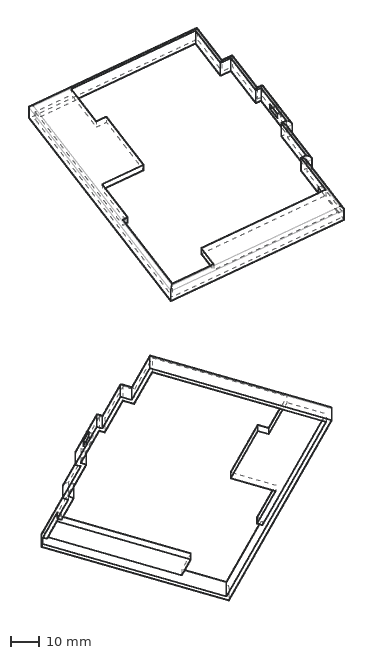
import cadquery as cq

length = 96.5
depth = 75.3
height = 7.2
wall = 1.5
edge_radius = 1.4
trimmed_top = 0.05
plate_overlap = 0.2

pitch = 17.0
step = 2.1
right_run = 25.3
left_back = depth - 3 * step
right_back = depth - 2 * step
step_1_x = pitch
step_2_x = 2 * pitch
step_4_x = length - right_run
step_3_x = step_4_x - pitch

plate_thickness = 3.1
plate_step_x = wall + pitch
plate_right_x = 43.9
plate_tongue_x = 61.3
plate_left_y = 16.4
plate_main_y = 20.6
plate_tongue_y = 3.6
side_plate_x = 86.5
side_plate_y = 18.4

window_width = 5.0
window_height = 2.4
window_bottom = 2.1
notch_start_x = 81.4
notch_height = 3.2

outline = [
    (0, 0),
    (length, 0),
    (length, right_back),
    (step_4_x, right_back),
    (step_4_x, depth - step),
    (step_3_x, depth - step),
    (step_3_x, depth),
    (step_2_x, depth),
    (step_2_x, depth - step),
    (step_1_x, depth - step),
    (step_1_x, left_back),
    (0, left_back),
]


def box(x0, x1, y0, y1, z0, z1):
    """Box between two opposite corners."""
    return cq.Workplane("XY").box(x1 - x0, y1 - y0, z1 - z0, centered=False).translate((x0, y0, z0))


def make_frame():
    """Thin stepped wall with a rounded outer top edge."""
    block = cq.Workplane("XY").polyline(outline).close().extrude(height + trimmed_top)
    block = block.faces(">Z").edges().fillet(edge_radius)
    block = block.intersect(box(0, length, 0, depth, 0, height))
    inside = cq.Workplane("XY").polyline(outline).close().offset2D(-wall, "intersection").extrude(height)
    return block.cut(inside)


def make_plates():
    """Front left plate with its tongue, and the strip along the right wall."""
    bottom = height - plate_thickness
    inner = wall - plate_overlap
    front_plate = (
        cq.Workplane("XY", origin=(0, 0, bottom))
        .polyline([
            (inner, inner),
            (plate_tongue_x, inner),
            (plate_tongue_x, plate_tongue_y),
            (plate_right_x, plate_tongue_y),
            (plate_right_x, plate_main_y),
            (plate_step_x, plate_main_y),
            (plate_step_x, plate_left_y),
            (inner, plate_left_y),
        ])
        .close()
        .extrude(plate_thickness)
    )
    side_plate = box(
        side_plate_x, length - inner, side_plate_y, right_back - inner, bottom, height
    )
    return front_plate.union(side_plate)


def make_openings():
    """Window in the middle of the back wall and a notch under its right end."""
    window_x = (step_2_x + step_3_x - window_width) / 2
    window = box(
        window_x, window_x + window_width, depth - wall, depth, window_bottom, window_bottom + window_height
    )
    notch = box(notch_start_x, length - wall, right_back - wall, right_back, 0, notch_height)
    return window.union(notch)


result = make_frame().union(make_plates()).cut(make_openings())